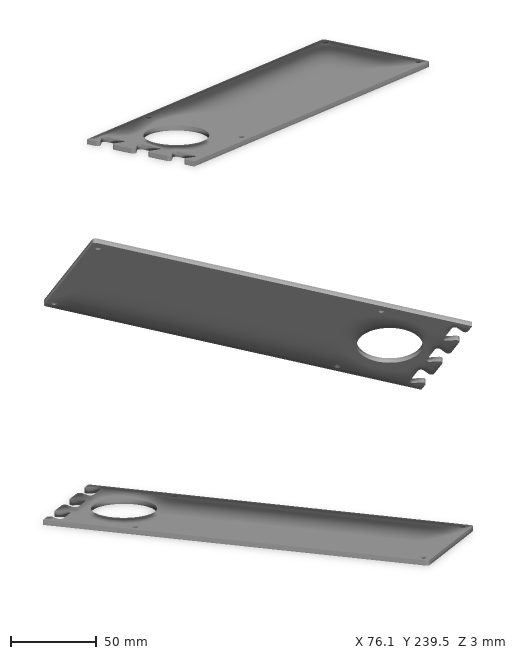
import cadquery as cq
import math

width = 76.1
length = 239.5
thickness = 3.0

port_diameter = 38.5
port_y = 36.1
screw_hole_diameter = 3.4
screw_hole_inset = 5.0
lower_screw_y = 55.3

slot_count = 3
slot_pitch = width / slot_count
slot_depth = 10.0
flank_angle = math.radians(60)
corner_radius = 2.0
flank_run = slot_depth / math.tan(flank_angle)
slot_root_width = slot_pitch / 2 + flank_run
slot_mouth_width = slot_pitch / 2 - flank_run


def plate_outline():
    """Closed outline with sharp dovetail slots cut into the Y = 0 edge."""
    points = [(-width / 2, length), (-width / 2, 0)]
    for index in range(slot_count):
        center_x = (index - (slot_count - 1) / 2) * slot_pitch
        points += [
            (center_x - slot_mouth_width / 2, 0),
            (center_x - slot_root_width / 2, slot_depth),
            (center_x + slot_root_width / 2, slot_depth),
            (center_x + slot_mouth_width / 2, 0),
        ]
    points += [(width / 2, 0), (width / 2, length)]
    return points


plate = cq.Workplane("XY").polyline(plate_outline()).close().extrude(thickness)

slot_zone = cq.selectors.BoxSelector(
    (-width / 2 + corner_radius, -slot_depth / 2, -thickness),
    (width / 2 - corner_radius, slot_depth * 1.5, 2 * thickness),
)
plate = plate.edges("|Z").edges(slot_zone).fillet(corner_radius)

plate = plate.faces(">Y").edges("|Z").fillet(corner_radius)

port = cq.Workplane("XY").center(0, port_y).circle(port_diameter / 2).extrude(thickness)

screw_x = width / 2 - screw_hole_inset
screw_points = [
    (x, y)
    for x in (-screw_x, screw_x)
    for y in (lower_screw_y, length - screw_hole_inset)
]
screw_holes = (
    cq.Workplane("XY")
    .pushPoints(screw_points)
    .circle(screw_hole_diameter / 2)
    .extrude(thickness)
)

result = plate.cut(port).cut(screw_holes)